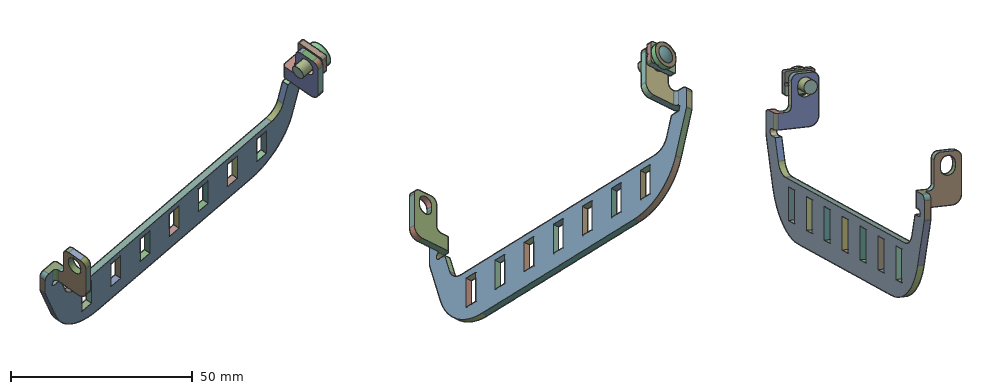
import cadquery as cq
import math

LENGTH = 106.2
SHEET = 2.0
ARM_TOP = 33.4
ARM_WIDTH = 6.3
SLOPE_START = 26.3
SLOPE_RADIUS = 1.0
SLOPE_ANGLE = 18.0
WEB_TOP = 17.0
OUTER_RADIUS = 18.0
INNER_RADIUS = 5.0
ARM_CORNER_RADIUS = 1.5

RELIEF_BOTTOM = 26.6
RELIEF_HEIGHT = 2.0
RELIEF_END = 2.9

WINDOW_COUNT = 7
WINDOW_PITCH = 12.0
WINDOW_WIDTH = 3.9
WINDOW_HEIGHT = 9.6
WINDOW_BOTTOM = 5.2

TAB_REACH = 13.2
TAB_TOP = 44.1
TAB_UPPER_LEFT = 4.9
TAB_BOTTOM = RELIEF_BOTTOM + RELIEF_HEIGHT
TAB_TOP_RADIUS = 2.0
TAB_BOTTOM_RADIUS = 3.0
TAB_NECK_RADIUS = 1.6
BEND_RADIUS = 1.0
TAB_INNER_Y = LENGTH / 2 - ARM_WIDTH
TAB_OUTER_Y = TAB_INNER_Y + SHEET

SCREW_X = (TAB_UPPER_LEFT + TAB_REACH) / 2
SCREW_Z = 40.9
SHANK_DIAMETER = 4.0
SHANK_END_Y = LENGTH / 2 - 10.0
HEAD_DIAMETER = 7.6
HEAD_THICKNESS = 1.7
DOME_DIAMETER = 5.1
DOME_HEIGHT = 0.7
HOLE_WIDTH = 4.5
HOLE_HEIGHT = 5.6
HOLE_TOP = SCREW_Z + SHANK_DIAMETER / 2

CLAMP_LENGTH = 9.0
CLAMP_HEIGHT = 7.0
CLAMP_LEFT = 3.8
CLAMP_TOP = 44.6
CLAMP_CORNER_RADIUS = 0.6
CLAMP_OUTER_Y = LENGTH / 2 - DOME_HEIGHT - HEAD_THICKNESS
GROOVE_WIDTH = 1.0
GROOVE_DEPTH = 0.3


def box(x0, x1, y0, y1, z0, z1):
    return cq.Workplane("XY").box(x1 - x0, y1 - y0, z1 - z0, centered=False).translate((x0, y0, z0))


def cylinder_y(diameter, y0, y1):
    """Cylinder on the screw axis from y0 to y1."""
    return (
        cq.Workplane("XZ", origin=(SCREW_X, y0, SCREW_Z))
        .circle(diameter / 2)
        .extrude(y0 - y1)
    )


def cross_edges_at(y, z):
    """Selector for the X-parallel edges that pass close to the point (y, z)."""
    near = 0.01
    return cq.selectors.BoxSelector((0, y - near, z - near), (SHEET, y + near, z + near))


def make_plate():
    lean = math.tan(math.radians(SLOPE_ANGLE))
    outer = LENGTH / 2
    inner = outer - ARM_WIDTH
    bottom = outer - SLOPE_START * lean
    web = inner - (RELIEF_BOTTOM - WEB_TOP) * lean
    half = [
        (bottom, 0),
        (outer, SLOPE_START),
        (outer, ARM_TOP),
        (inner, ARM_TOP),
        (inner, RELIEF_BOTTOM),
        (web, WEB_TOP),
    ]
    mirrored = [(-y, z) for y, z in reversed(half)]
    plate = cq.Workplane("YZ").polyline(half + mirrored).close().extrude(SHEET)
    corners = [
        (bottom, 0, OUTER_RADIUS),
        (web, WEB_TOP, INNER_RADIUS),
        (outer, ARM_TOP, ARM_CORNER_RADIUS),
        (outer, SLOPE_START, SLOPE_RADIUS),
    ]
    for y, z, radius in corners:
        for side in (1, -1):
            plate = plate.edges(cross_edges_at(side * y, z)).fillet(radius)
    return plate


def make_windows():
    return (
        cq.Workplane("YZ", origin=(0, 0, WINDOW_BOTTOM + WINDOW_HEIGHT / 2))
        .rarray(WINDOW_PITCH, 1.1, WINDOW_COUNT, 1)
        .rect(WINDOW_WIDTH, WINDOW_HEIGHT)
        .extrude(SHEET)
    )


def make_relief():
    """Round-ended slot cut into the inner edge of the +Y arm."""
    radius = RELIEF_HEIGHT / 2
    end_y = LENGTH / 2 - RELIEF_END - radius
    middle_z = RELIEF_BOTTOM + radius
    round_end = cq.Workplane("YZ").center(end_y, middle_z).circle(radius).extrude(SHEET)
    return round_end.union(box(0, SHEET, TAB_INNER_Y, end_y, RELIEF_BOTTOM, TAB_BOTTOM))


def make_tab():
    """Bent tab of the +Y arm with its slotted hole."""
    lower = box(0, TAB_REACH, TAB_INNER_Y, TAB_OUTER_Y, TAB_BOTTOM, ARM_TOP)
    upper = box(TAB_UPPER_LEFT, TAB_REACH, TAB_INNER_Y, TAB_OUTER_Y, TAB_BOTTOM, TAB_TOP)
    tab = lower.union(upper).clean()
    tab = tab.edges("|Y and >Z").fillet(TAB_TOP_RADIUS)
    tab = tab.edges("|Y").edges(">X and <Z").fillet(TAB_BOTTOM_RADIUS)
    neck = cq.selectors.NearestToPointSelector((TAB_UPPER_LEFT, (TAB_INNER_Y + TAB_OUTER_Y) / 2, ARM_TOP))
    tab = tab.edges("|Y").edges(neck).fillet(TAB_NECK_RADIUS)
    hole = (
        cq.Workplane("XZ", origin=(SCREW_X, TAB_OUTER_Y, HOLE_TOP - HOLE_HEIGHT / 2))
        .slot2D(HOLE_HEIGHT, HOLE_WIDTH, 90)
        .extrude(SHEET)
    )
    return tab.cut(hole)


def bend_filler():
    """Material of the concave bend between the plate and the outer face of the tab."""
    return (
        cq.Workplane("XY", origin=(0, 0, TAB_BOTTOM))
        .moveTo(SHEET, TAB_OUTER_Y)
        .lineTo(SHEET + BEND_RADIUS, TAB_OUTER_Y)
        .radiusArc((SHEET, TAB_OUTER_Y + BEND_RADIUS), BEND_RADIUS)
        .close()
        .extrude(ARM_TOP - TAB_BOTTOM)
    )


def bend_rounding():
    """Material removed to round the convex side of the bend."""
    return (
        cq.Workplane("XY", origin=(0, 0, TAB_BOTTOM))
        .moveTo(0, TAB_INNER_Y)
        .lineTo(BEND_RADIUS, TAB_INNER_Y)
        .radiusArc((0, TAB_INNER_Y + BEND_RADIUS), BEND_RADIUS)
        .close()
        .extrude(ARM_TOP - TAB_BOTTOM)
    )


def make_bracket():
    bracket = make_plate().cut(make_windows())
    additions = make_tab().union(bend_filler())
    removals = make_relief().union(bend_rounding())
    for feature in (additions, additions.mirror("XZ")):
        bracket = bracket.union(feature)
    for feature in (removals, removals.mirror("XZ")):
        bracket = bracket.cut(feature)
    return bracket


def make_clamp_plate():
    clamp = box(
        CLAMP_LEFT, CLAMP_LEFT + CLAMP_LENGTH,
        TAB_OUTER_Y, CLAMP_OUTER_Y,
        CLAMP_TOP - CLAMP_HEIGHT, CLAMP_TOP,
    ).edges("|Y").fillet(CLAMP_CORNER_RADIUS)
    groove = (
        cq.Workplane("YZ", origin=(CLAMP_LEFT, TAB_OUTER_Y, SCREW_Z))
        .moveTo(0, -GROOVE_WIDTH / 2)
        .lineTo(GROOVE_DEPTH, 0)
        .lineTo(0, GROOVE_WIDTH / 2)
        .close()
        .extrude(CLAMP_LENGTH)
    )
    return clamp.cut(groove).cut(cylinder_y(SHANK_DIAMETER, TAB_OUTER_Y, CLAMP_OUTER_Y))


def make_screw():
    """Shank, disc head and domed crown, revolved about the screw axis."""
    head_front = CLAMP_OUTER_Y + HEAD_THICKNESS
    dome_base = DOME_DIAMETER / 2
    dome_radius = (dome_base ** 2 + DOME_HEIGHT ** 2) / (2 * DOME_HEIGHT)
    return (
        cq.Workplane("XY", origin=(SCREW_X, 0, SCREW_Z))
        .moveTo(0, SHANK_END_Y)
        .lineTo(SHANK_DIAMETER / 2, SHANK_END_Y)
        .lineTo(SHANK_DIAMETER / 2, CLAMP_OUTER_Y)
        .lineTo(HEAD_DIAMETER / 2, CLAMP_OUTER_Y)
        .lineTo(HEAD_DIAMETER / 2, head_front)
        .lineTo(dome_base, head_front)
        .radiusArc((0, head_front + DOME_HEIGHT), -dome_radius)
        .close()
        .revolve(360, (0, 0), (0, 1))
    )


bracket = make_bracket()
clamp_plate = make_clamp_plate()
screw = make_screw()

result = cq.Compound.makeCompound([bracket.val(), clamp_plate.val(), screw.val()])